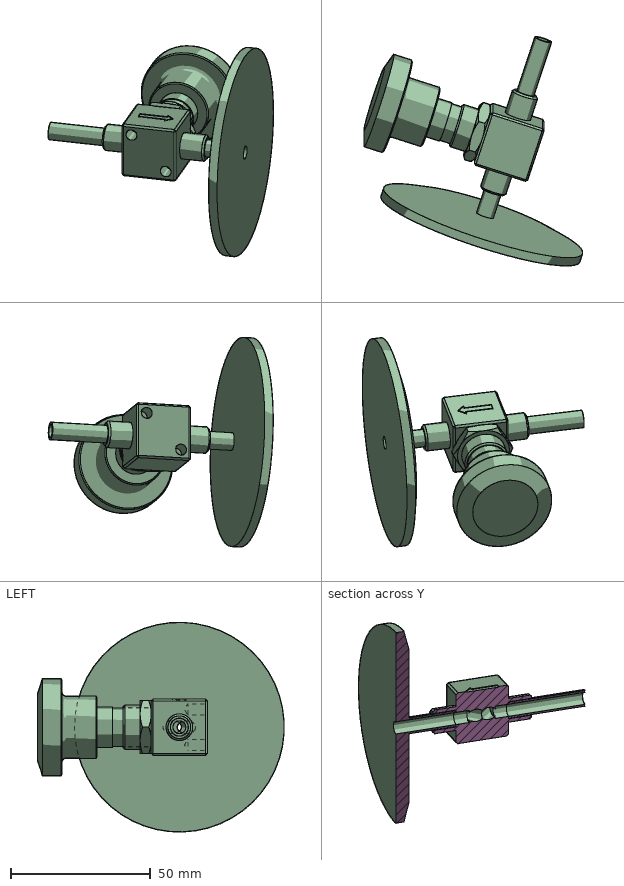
import cadquery as cq
import math


BLOCK_SIDE = 20.1
BLOCK_HALF = BLOCK_SIDE / 2
BLOCK_CHAMFER = 0.7
SOCKET_DIAMETER = 9.5
SOCKET_END = 18.9
SOCKET_CHAMFER = 0.7

TUBE_DIAMETER = 6.4
TUBE_BORE = 4.6
SOCKET_BORE = 6.45
INLET_TUBE_END = -39.3
PASSAGE_MOUTH_X = -BLOCK_HALF / 2
PASSAGE_PEAK_Y = 2.6
PASSAGE_MOUTH_Y = -PASSAGE_PEAK_Y

MOUNTING_HOLE_DIAMETER = 4.0
MOUNTING_HOLE_OFFSET = 6.4
MOUNTING_HOLE_DEPTH = 7.1
DRILL_POINT_ANGLE = 118.0

ARROW_HALF_LENGTH = 6.3
ARROW_HEAD_LENGTH = 2.6
ARROW_HEAD_HALF_WIDTH = 2.4
ARROW_SHAFT_HALF_WIDTH = 1.2
ARROW_DEPTH = 0.3

FLANGE_DIAMETER = 75.05
FLANGE_FACE_DIAMETER = 59.7
FLANGE_FRONT = 27.9
FLANGE_RIM_START = 29.9
FLANGE_BACK = 33.1

NUT_ACROSS_FLATS = 19.0
NUT_ACROSS_CORNERS = NUT_ACROSS_FLATS / math.cos(math.pi / 6)
NUT_BOTTOM = BLOCK_HALF
NUT_TOP = 14.0
NUT_CHAMFER_ANGLE = 30.0
NUT_BOSS_DIAMETER = 15.9
NUT_BOSS_TOP = 20.1
NUT_BOSS_CHAMFER = 0.6
NUT_BORE = 14.1

STEM_DIAMETER = 13.9
STEM_COLLAR_DIAMETER = 14.5
STEM_COLLAR_BOTTOM = 23.9

KNOB_DIAMETER = 34.8
KNOB_SKIRT_DIAMETER = 22.25
KNOB_BOTTOM = 29.4
KNOB_HEAD_BOTTOM = 41.9
KNOB_RIM_TOP = 49.0
KNOB_TOP = 50.8
KNOB_TOP_DIAMETER = 23.8
KNOB_CHAMFER = 0.4
KNOB_FILLET = 1.5


def x_cylinder(diameter, start, end):
    """Round bar along X from start to end."""
    return cq.Workplane("YZ", origin=(start, 0, 0)).circle(diameter / 2).extrude(end - start)


def y_cylinder(diameter, start, end):
    """Round bar along Y from start to end."""
    return cq.Workplane("XZ", origin=(0, start, 0)).circle(diameter / 2).extrude(start - end)


def revolve_about_y(points):
    """Solid of revolution about Y from (radius, y) points."""
    return cq.Workplane("XY").polyline(points).close().revolve(360, (0, 0, 0), (0, 1, 0))


def slanted_passage():
    """Inclined bore from the inner end of the inlet bore up to the middle plane of the block."""
    start = cq.Vector(PASSAGE_MOUTH_X, PASSAGE_MOUTH_Y, 0)
    direction = cq.Vector(0, PASSAGE_PEAK_Y, 0) - start
    bore = cq.Solid.makeCylinder(TUBE_BORE / 2, 3 * direction.Length, start - direction, direction)
    slab = cq.Workplane("XY").box(-PASSAGE_MOUTH_X, BLOCK_SIDE, BLOCK_SIDE)
    return slab.translate((PASSAGE_MOUTH_X / 2, 0, 0)).intersect(cq.Workplane(bore))


def mounting_hole(x, z):
    """Blind drilled hole with a conical end, as a cutting tool."""
    radius = MOUNTING_HOLE_DIAMETER / 2
    tip = radius / math.tan(math.radians(DRILL_POINT_ANGLE / 2))
    outline = [(0, 0), (radius, 0), (radius, MOUNTING_HOLE_DEPTH), (0, MOUNTING_HOLE_DEPTH + tip)]
    return revolve_about_y(outline).translate((x, -BLOCK_HALF, z))


def flow_arrow():
    """Arrow pointing along +X, as a cutting tool."""
    neck = ARROW_HALF_LENGTH - ARROW_HEAD_LENGTH
    outline = [
        (-ARROW_HALF_LENGTH, -ARROW_SHAFT_HALF_WIDTH),
        (neck, -ARROW_SHAFT_HALF_WIDTH),
        (neck, -ARROW_HEAD_HALF_WIDTH),
        (ARROW_HALF_LENGTH, 0),
        (neck, ARROW_HEAD_HALF_WIDTH),
        (neck, ARROW_SHAFT_HALF_WIDTH),
        (-ARROW_HALF_LENGTH, ARROW_SHAFT_HALF_WIDTH),
    ]
    return cq.Workplane("XY", origin=(0, 0, BLOCK_HALF)).polyline(outline).close().extrude(-ARROW_DEPTH)


def make_block():
    block = cq.Workplane("XY").box(BLOCK_SIDE, BLOCK_SIDE, BLOCK_SIDE).edges().chamfer(BLOCK_CHAMFER)
    sockets = x_cylinder(SOCKET_DIAMETER, -SOCKET_END, SOCKET_END).faces("<X or >X").chamfer(SOCKET_CHAMFER)
    block = block.union(sockets)
    inlet_socket = x_cylinder(SOCKET_BORE, -SOCKET_END, -BLOCK_HALF)
    inlet_bore = x_cylinder(TUBE_BORE, -BLOCK_HALF, PASSAGE_MOUTH_X)
    for cutter in (inlet_socket, inlet_bore, slanted_passage()):
        block = block.cut(cutter).cut(cutter.mirror("YZ"))
    for side in (-1, 1):
        block = block.cut(mounting_hole(side * MOUNTING_HOLE_OFFSET, -side * MOUNTING_HOLE_OFFSET))
    return block.cut(flow_arrow())


def make_inlet_tube():
    outside = x_cylinder(TUBE_DIAMETER, INLET_TUBE_END, -BLOCK_HALF)
    return outside.cut(x_cylinder(TUBE_BORE, INLET_TUBE_END, -BLOCK_HALF))


def make_flanged_tube():
    """Outlet tube and flange in one piece."""
    outline = [
        (BLOCK_HALF, TUBE_BORE / 2),
        (BLOCK_HALF, TUBE_DIAMETER / 2),
        (FLANGE_FRONT, TUBE_DIAMETER / 2),
        (FLANGE_FRONT, FLANGE_FACE_DIAMETER / 2),
        (FLANGE_RIM_START, FLANGE_DIAMETER / 2),
        (FLANGE_BACK, FLANGE_DIAMETER / 2),
        (FLANGE_BACK, TUBE_BORE / 2),
    ]
    return cq.Workplane("XY").polyline(outline).close().revolve(360, (0, 0, 0), (1, 0, 0))


def make_nut():
    height = NUT_TOP - NUT_BOTTOM
    hexagon = cq.Workplane("XZ", origin=(0, NUT_BOTTOM, 0)).polygon(6, NUT_ACROSS_CORNERS).extrude(-height)
    flat_radius = NUT_ACROSS_FLATS / 2
    corner_radius = NUT_ACROSS_CORNERS / 2
    drop = (corner_radius - flat_radius) * math.tan(math.radians(NUT_CHAMFER_ANGLE))
    corner_trim = revolve_about_y([
        (0, NUT_BOTTOM),
        (flat_radius, NUT_BOTTOM),
        (corner_radius, NUT_BOTTOM + drop),
        (corner_radius, NUT_TOP - drop),
        (flat_radius, NUT_TOP),
        (0, NUT_TOP),
    ])
    boss = y_cylinder(NUT_BOSS_DIAMETER, NUT_BOTTOM, NUT_BOSS_TOP).faces(">Y").chamfer(NUT_BOSS_CHAMFER)
    return hexagon.intersect(corner_trim).union(boss).cut(y_cylinder(NUT_BORE, NUT_BOTTOM, NUT_BOSS_TOP))


def make_stem():
    shank = y_cylinder(STEM_DIAMETER, BLOCK_HALF, STEM_COLLAR_BOTTOM)
    return shank.union(y_cylinder(STEM_COLLAR_DIAMETER, STEM_COLLAR_BOTTOM, KNOB_BOTTOM))


def make_knob():
    skirt_radius = KNOB_SKIRT_DIAMETER / 2
    rim_radius = KNOB_DIAMETER / 2
    outline = (
        cq.Workplane("XY")
        .moveTo(0, KNOB_BOTTOM)
        .lineTo(skirt_radius - KNOB_CHAMFER, KNOB_BOTTOM)
        .lineTo(skirt_radius, KNOB_BOTTOM + KNOB_CHAMFER)
        .lineTo(skirt_radius, KNOB_HEAD_BOTTOM - KNOB_FILLET)
        .radiusArc((skirt_radius + KNOB_FILLET, KNOB_HEAD_BOTTOM), KNOB_FILLET)
        .lineTo(rim_radius - KNOB_CHAMFER, KNOB_HEAD_BOTTOM)
        .lineTo(rim_radius, KNOB_HEAD_BOTTOM + KNOB_CHAMFER)
        .lineTo(rim_radius, KNOB_RIM_TOP)
        .lineTo(KNOB_TOP_DIAMETER / 2, KNOB_TOP)
        .lineTo(0, KNOB_TOP)
        .close()
    )
    return outline.revolve(360, (0, 0, 0), (0, 1, 0))


block = make_block()
inlet_tube = make_inlet_tube()
flanged_tube = make_flanged_tube()
nut = make_nut()
stem = make_stem()
knob = make_knob()

result = cq.Compound.makeCompound([
    block.val(),
    inlet_tube.val(),
    flanged_tube.val(),
    nut.val(),
    stem.val(),
    knob.val(),
])